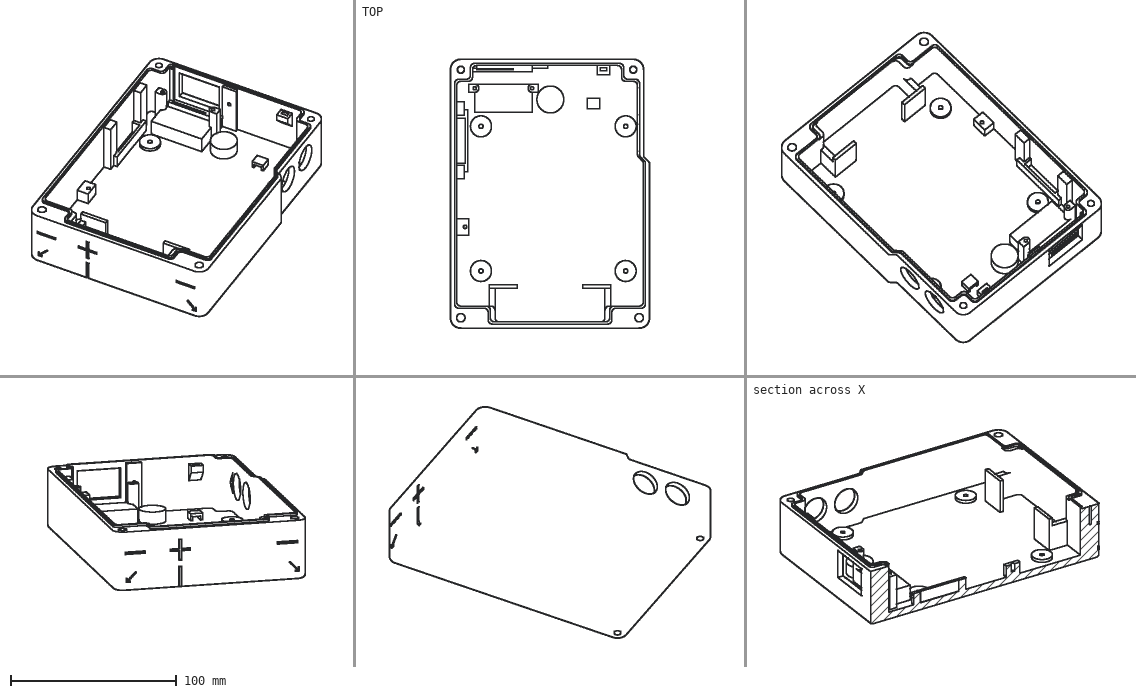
import cadquery as cq
import math

LENGTH_X = 120.4
LENGTH_Y = 162.56
HEIGHT = 38.1
REAR_LENGTH_X = 116.84
JOG_Y = 101.85
JOG_DROP = LENGTH_X - REAR_LENGTH_X
CORNER_RADIUS = 6.35
JOG_RADIUS = 1.4
BOTTOM_FILLET = 1.9

FLOOR_Z = 5.08
LIP_HEIGHT = 1.27
RIM_Z = HEIGHT - LIP_HEIGHT
LIP_SETBACK = 2.54
LIP_WIDTH = 1.27
WALL = LIP_SETBACK + LIP_WIDTH
BOSS_SIZE = 13.4
FRONT_LIP_X = 24.13
FRONT_BOSS_X = 27.0
CAVITY_RADIUS = 2.54
INNER_JOG_Y = 102.3

SCREW_INSET = 6.35
REAR_SCREW_DIAMETER = 4.06
FRONT_SCREW_DIAMETER = 5.08
FRONT_SCREW_DEPTH = 12.7

STANDOFF_DIAMETER = 12.7
STANDOFF_HEIGHT = 1.9
STANDOFF_HOLE_DIAMETER = 2.54
STANDOFF_HOLE_DEPTH = 3.81
STANDOFF_X = 18.5
STANDOFF_Y = 34.6
STANDOFF_PITCH = 87.4
DISC_DIAMETER = 16.26
DISC_HEIGHT = 7.62
DISC_CENTER = (60.4, 138.2)

MOUNT_LEFT = 14.8
MOUNT_RIGHT = 49.35
MOUNT_FRONT = 130.6
MOUNT_REAR = 147.4
MOUNT_TOP_Z = 15.24
POST_RADIUS = 2.4
POST_OVERHANG = 3.8
POST_TOP_Z = 27.7
POST_HOLE_DIAMETER = 1.96
POST_HOLE_DEPTH = 10.16

WINDOW_LEFT = 19.05
WINDOW_RIGHT = 46.2
WINDOW_BOTTOM_Z = 15.24
WINDOW_TOP_Z = 33.8
WINDOW_CENTER_X = (WINDOW_LEFT + WINDOW_RIGHT) / 2
WINDOW_CENTER_Z = (WINDOW_BOTTOM_Z + WINDOW_TOP_Z) / 2
PAD_WIDTH = 9.4
PAD_DEPTH = 1.8
PAD_HOLE_DIAMETER = 2.03
LEDGE_DEPTH = 3.81
LEDGE_TOP_Z = 11.43
GROOVE_LEFT = 15.9
GROOVE_RIGHT = 38.0
GROOVE_WIDTH = 0.6
GROOVE_DEPTH = 1.27
GROOVE_SETBACK = 2.35

WEDGE_LEFT = 88.7
WEDGE_RIGHT = 96.3
WEDGE_DEPTH = 5.6
WEDGE_TOP_Z = 33.5
WEDGE_FRONT_HEIGHT = 4.2
WEDGE_BACK_HEIGHT = 10.4
WEDGE_POCKET_X = 4.1
WEDGE_POCKET_Y = 1.8
WEDGE_POCKET_DEPTH = 2.54
WEDGE_POCKET_SETBACK = 2.3

BRIDGE_LEFT = 82.8
BRIDGE_RIGHT = 90.4
BRIDGE_FRONT = 132.6
BRIDGE_REAR = 139.1
BRIDGE_HEIGHT = 4.3
BRIDGE_ROOF = 1.9
BRIDGE_LEG = 1.27

TAB_RIGHT = 8.4
TAB_LENGTH = 8.0
TAB_FRONTS = (90.4, 128.8)
SHELF_RIGHT = 10.6
SHELF_FRONT = 94.5
SHELF_REAR = 132.0
SHELF_TOP_Z = 12.7
SHELF_POCKET_RIGHT = 8.9
SHELF_POCKET_FRONT = 99.8
SHELF_POCKET_REAR = 126.8
BLOCK_RIGHT = 11.2
BLOCK_FRONT = 56.3
BLOCK_REAR = 66.2
BLOCK_TOP_Z = 12.7
BLOCK_HOLE_DIAMETER = 2.03
BLOCK_HOLE_X = 8.9
BLOCK_HOLE_DEPTH = 5.08

HOLDER_LEFT = 23.5
HOLDER_ARM_END = 40.5
HOLDER_ARM_FRONT = 24.06
HOLDER_ARM_REAR = 26.4
HOLDER_ARM_TOP_Z = 26.67
HOLDER_SIDE_TOP_Z = 21.6

OPENING_DIAMETER = 16.26
OPENING_YS = (115.1, 137.2)
OPENING_Z = 22.95
CLEARANCE_DIAMETER = 22.86
CLEARANCE_DEPTH = 2.6

MARK_DEPTH = 1.27
MARK_WIDTH = 1.27
MARK_Z = 23.45
MARK_LENGTH = 12.45
CROSS_X = 40.85
CROSS_BAR_WIDTH = 1.78
CROSS_BAR_BOTTOM_Z = 17.0
CROSS_BAR_TOP_Z = 29.9
LOWER_BAR_TOP_Z = 12.9
ARROW_LEFT_TIP = (7.1, 5.3)
ARROW_RIGHT_TIP = (115.2, 5.1)
ARROW_RISE = 6.1
ARROW_BARB = 2.4
ARROW_LINE_WIDTH = 0.4
ARROW_DEPTH = 0.64


def box(x_min, x_max, y_min, y_max, z_min, z_max):
    """Axis-aligned block between the given limits."""
    block = cq.Workplane("XY").box(x_max - x_min, y_max - y_min, z_max - z_min, centered=False)
    return block.translate((x_min, y_min, z_min))


def cylinder(x, y, z_min, z_max, diameter):
    """Upright cylinder centred on (x, y)."""
    return cq.Workplane("XY", origin=(x, y, z_min)).circle(diameter / 2).extrude(z_max - z_min)


def mirror_x(shape):
    """Copy mirrored about the middle of the front face."""
    return shape.mirror("YZ", (LENGTH_X / 2, 0, 0))


def outer_body(top_z):
    """Solid outer block with rounded corners and the jog in its right side."""
    outline = [
        (0, 0),
        (LENGTH_X, 0),
        (LENGTH_X, JOG_Y - JOG_DROP / 2),
        (REAR_LENGTH_X, JOG_Y + JOG_DROP / 2),
        (REAR_LENGTH_X, LENGTH_Y),
        (0, LENGTH_Y),
    ]
    body = cq.Workplane("XY").polyline(outline).close().extrude(top_z)
    jog = cq.selectors.BoxSelector(
        (REAR_LENGTH_X - 1, JOG_Y - JOG_DROP, 0), (LENGTH_X + 1, JOG_Y + JOG_DROP, top_z)
    )
    body = body.edges("|Z").edges(jog).fillet(JOG_RADIUS)
    corners = cq.Workplane(obj=body.val())
    for x, y in ((0, 0), (LENGTH_X, 0), (REAR_LENGTH_X, LENGTH_Y), (0, LENGTH_Y)):
        corners = corners.edges(cq.selectors.NearestToPointSelector((x, y, top_z / 2))).fillet(CORNER_RADIUS)
    return corners.faces("<Z").edges().fillet(BOTTOM_FILLET)


def inner_prism(wall, boss, front_boss_x, z_min, z_max, radius):
    """Prism that follows the walls at the given setback and steps around the four corner bosses."""
    rear = LENGTH_Y - wall
    rear_right = REAR_LENGTH_X - wall
    front_right = LENGTH_X - wall
    outline = [
        (front_boss_x, wall),
        (LENGTH_X - front_boss_x, wall),
        (LENGTH_X - front_boss_x, boss),
        (front_right, boss),
        (front_right, INNER_JOG_Y - JOG_DROP / 2),
        (rear_right, INNER_JOG_Y + JOG_DROP / 2),
        (rear_right, LENGTH_Y - boss),
        (REAR_LENGTH_X - boss, LENGTH_Y - boss),
        (REAR_LENGTH_X - boss, rear),
        (boss, rear),
        (boss, LENGTH_Y - boss),
        (wall, LENGTH_Y - boss),
        (wall, boss),
        (front_boss_x, boss),
    ]
    prism = cq.Workplane("XY", origin=(0, 0, z_min)).polyline(outline).close().extrude(z_max - z_min)
    return prism.edges("|Z").fillet(radius)


def shell():
    """Box with its cavity and the raised lip around the opening."""
    lip_outer = inner_prism(
        LIP_SETBACK, BOSS_SIZE - LIP_WIDTH, FRONT_LIP_X - LIP_WIDTH, RIM_Z, HEIGHT, CAVITY_RADIUS
    )
    lip_inner = inner_prism(WALL, BOSS_SIZE, FRONT_LIP_X, RIM_Z, HEIGHT, CAVITY_RADIUS)
    cavity = inner_prism(WALL, BOSS_SIZE, FRONT_BOSS_X, FLOOR_Z, RIM_Z, CAVITY_RADIUS)
    return outer_body(RIM_Z).cut(cavity).union(lip_outer.cut(lip_inner))


def screw_holes():
    """Through holes in the rear bosses and blind holes in the front bosses."""
    rear_y = LENGTH_Y - SCREW_INSET
    holes = cq.Workplane("XY")
    for x in (SCREW_INSET, REAR_LENGTH_X - SCREW_INSET):
        holes = holes.add(cylinder(x, rear_y, 0, HEIGHT, REAR_SCREW_DIAMETER))
    for x in (SCREW_INSET, LENGTH_X - SCREW_INSET):
        holes = holes.add(cylinder(x, SCREW_INSET, RIM_Z - FRONT_SCREW_DEPTH, HEIGHT, FRONT_SCREW_DIAMETER))
    return holes.combine()


def add_standoffs(part):
    """Four low round pads with blind holes, and the plain disc."""
    top = FLOOR_Z + STANDOFF_HEIGHT
    for x in (STANDOFF_X, STANDOFF_X + STANDOFF_PITCH):
        for y in (STANDOFF_Y, STANDOFF_Y + STANDOFF_PITCH):
            part = part.union(cylinder(x, y, FLOOR_Z, top, STANDOFF_DIAMETER))
            part = part.cut(cylinder(x, y, top - STANDOFF_HOLE_DEPTH, top, STANDOFF_HOLE_DIAMETER))
    return part.union(cylinder(*DISC_CENTER, FLOOR_Z, FLOOR_Z + DISC_HEIGHT, DISC_DIAMETER))


def add_display_mount(part):
    """Raised block with a screw post at each end."""
    part = part.union(box(MOUNT_LEFT, MOUNT_RIGHT, MOUNT_FRONT, MOUNT_REAR, FLOOR_Z, MOUNT_TOP_Z))
    post_y = MOUNT_REAR - POST_RADIUS
    posts = ((MOUNT_LEFT, MOUNT_LEFT - POST_OVERHANG), (MOUNT_RIGHT, MOUNT_RIGHT + POST_OVERHANG))
    for x, flat_x in posts:
        part = part.union(cylinder(x, post_y, FLOOR_Z, POST_TOP_Z, 2 * POST_RADIUS))
        ends = sorted((x, flat_x))
        part = part.union(box(*ends, post_y - POST_RADIUS, MOUNT_REAR, FLOOR_Z, POST_TOP_Z))
        part = part.cut(cylinder(x, post_y, POST_TOP_Z - POST_HOLE_DEPTH, POST_TOP_Z, POST_HOLE_DIAMETER))
    return part


def add_window(part):
    """Window through the rear wall, a screw pad on each side of it and a grooved ledge below."""
    wall_y = LENGTH_Y - WALL
    ledge_half = MOUNT_RIGHT - WINDOW_CENTER_X
    part = part.union(
        box(SCREW_INSET * 2, MOUNT_RIGHT, wall_y - LEDGE_DEPTH, wall_y, FLOOR_Z, LEDGE_TOP_Z)
    )
    groove_y = wall_y - GROOVE_SETBACK
    part = part.cut(
        box(
            GROOVE_LEFT,
            GROOVE_RIGHT,
            groove_y - GROOVE_WIDTH / 2,
            groove_y + GROOVE_WIDTH / 2,
            LEDGE_TOP_Z - GROOVE_DEPTH,
            LEDGE_TOP_Z,
        )
    )
    for side in (-1, 1):
        pad_x = WINDOW_CENTER_X + side * (ledge_half + PAD_WIDTH / 2)
        pad = box(
            pad_x - PAD_WIDTH / 2, pad_x + PAD_WIDTH / 2, wall_y - PAD_DEPTH, wall_y, FLOOR_Z, RIM_Z
        )
        part = part.union(pad)
    hole_x = MOUNT_RIGHT + PAD_WIDTH / 2
    hole = cq.Workplane("XZ", origin=(hole_x, wall_y, WINDOW_CENTER_Z))
    part = part.cut(hole.circle(PAD_HOLE_DIAMETER / 2).extrude(PAD_DEPTH))
    return part.cut(
        box(WINDOW_LEFT, WINDOW_RIGHT, wall_y, LENGTH_Y, WINDOW_BOTTOM_Z, WINDOW_TOP_Z)
    )


def add_wedge(part):
    """Wedge bracket on the rear wall, with a small pocket in its top."""
    wall_y = LENGTH_Y - WALL
    profile = [
        (wall_y, WEDGE_TOP_Z),
        (wall_y - WEDGE_DEPTH, WEDGE_TOP_Z),
        (wall_y - WEDGE_DEPTH, WEDGE_TOP_Z - WEDGE_FRONT_HEIGHT),
        (wall_y, WEDGE_TOP_Z - WEDGE_BACK_HEIGHT),
    ]
    wedge = cq.Workplane("YZ", origin=(WEDGE_LEFT, 0, 0)).polyline(profile).close()
    part = part.union(wedge.extrude(WEDGE_RIGHT - WEDGE_LEFT))
    pocket = cq.Workplane("XY").box(WEDGE_POCKET_X, WEDGE_POCKET_Y, 2 * WEDGE_POCKET_DEPTH)
    center = ((WEDGE_LEFT + WEDGE_RIGHT) / 2, wall_y - WEDGE_POCKET_SETBACK, WEDGE_TOP_Z)
    return part.cut(pocket.translate(center))


def add_bridge(part):
    """Small bridge on the floor, open along Y."""
    top = FLOOR_Z + BRIDGE_HEIGHT
    bridge = box(BRIDGE_LEFT, BRIDGE_RIGHT, BRIDGE_FRONT, BRIDGE_REAR, FLOOR_Z, top)
    passage = box(
        BRIDGE_LEFT + BRIDGE_LEG, BRIDGE_RIGHT - BRIDGE_LEG, BRIDGE_FRONT, BRIDGE_REAR, FLOOR_Z, top - BRIDGE_ROOF
    )
    return part.union(bridge.cut(passage))


def add_left_wall_features(part):
    """Pocketed shelf with two tall tabs, and a block with a screw hole."""
    shelf = box(WALL, SHELF_RIGHT, SHELF_FRONT, SHELF_REAR, FLOOR_Z, SHELF_TOP_Z)
    pocket = box(WALL, SHELF_POCKET_RIGHT, SHELF_POCKET_FRONT, SHELF_POCKET_REAR, FLOOR_Z, SHELF_TOP_Z)
    part = part.union(shelf.cut(pocket))
    for front in TAB_FRONTS:
        part = part.union(box(WALL, TAB_RIGHT, front, front + TAB_LENGTH, FLOOR_Z, RIM_Z))
    part = part.union(box(WALL, BLOCK_RIGHT, BLOCK_FRONT, BLOCK_REAR, FLOOR_Z, BLOCK_TOP_Z))
    hole_y = (BLOCK_FRONT + BLOCK_REAR) / 2
    return part.cut(
        cylinder(BLOCK_HOLE_X, hole_y, BLOCK_TOP_Z - BLOCK_HOLE_DEPTH, BLOCK_TOP_Z, BLOCK_HOLE_DIAMETER)
    )


def add_front_holder(part):
    """Two mirrored L-shaped walls that form a holder against the front wall."""
    arm = box(HOLDER_LEFT, HOLDER_ARM_END, HOLDER_ARM_FRONT, HOLDER_ARM_REAR, FLOOR_Z, HOLDER_ARM_TOP_Z)
    side = box(
        HOLDER_LEFT, FRONT_BOSS_X, BOSS_SIZE - CAVITY_RADIUS, HOLDER_ARM_FRONT, FLOOR_Z, HOLDER_SIDE_TOP_Z
    )
    holder = arm.union(side)
    return part.union(holder).union(mirror_x(holder))


def cut_right_wall(part):
    """Two round openings, each with clearance for a nut inside the wall."""
    wall_x = REAR_LENGTH_X - WALL
    for y in OPENING_YS:
        plane = cq.Workplane("YZ", origin=(wall_x, y, OPENING_Z))
        part = part.cut(plane.circle(OPENING_DIAMETER / 2).extrude(WALL))
        part = part.cut(plane.circle(CLEARANCE_DIAMETER / 2).extrude(-CLEARANCE_DEPTH))
    return part


def front_marks():
    """Engraved cross, side dashes and lower bar on the front face."""
    z_low = MARK_Z - MARK_WIDTH / 2
    z_high = MARK_Z + MARK_WIDTH / 2
    left_dash = box(CORNER_RADIUS, CORNER_RADIUS + MARK_LENGTH, 0, MARK_DEPTH, z_low, z_high)
    marks = left_dash.union(mirror_x(left_dash))
    marks = marks.union(
        box(CROSS_X - MARK_LENGTH / 2, CROSS_X + MARK_LENGTH / 2, 0, MARK_DEPTH, z_low, z_high)
    )
    for bottom, top in ((CROSS_BAR_BOTTOM_Z, CROSS_BAR_TOP_Z), (0, LOWER_BAR_TOP_Z)):
        bar = box(CROSS_X - CROSS_BAR_WIDTH / 2, CROSS_X + CROSS_BAR_WIDTH / 2, 0, MARK_DEPTH, bottom, top)
        marks = marks.union(bar)
    return marks


def arrow(tip, side):
    """Engraved arrow pointing down and outwards; side is 1 for a shaft to the right of its tip, -1 to the left."""
    x, z = tip
    offset = ARROW_LINE_WIDTH * math.sqrt(0.5)
    outline = [
        (x, z),
        (x + side * ARROW_BARB, z),
        (x + side * ARROW_BARB, z + ARROW_LINE_WIDTH),
        (x + side * (ARROW_LINE_WIDTH + offset), z + ARROW_LINE_WIDTH),
        (x + side * ARROW_RISE, z + ARROW_RISE - offset),
        (x + side * (ARROW_RISE - offset), z + ARROW_RISE),
        (x + side * ARROW_LINE_WIDTH, z + ARROW_LINE_WIDTH + offset),
        (x + side * ARROW_LINE_WIDTH, z + ARROW_BARB),
        (x, z + ARROW_BARB),
    ]
    return cq.Workplane("XZ").polyline(outline).close().extrude(-ARROW_DEPTH)


part = shell()
part = add_standoffs(part)
part = add_display_mount(part)
part = add_window(part)
part = add_wedge(part)
part = add_bridge(part)
part = add_left_wall_features(part)
part = add_front_holder(part)
part = cut_right_wall(part)
part = part.cut(screw_holes())
part = part.cut(front_marks())
part = part.cut(arrow(ARROW_LEFT_TIP, 1))
result = part.cut(arrow(ARROW_RIGHT_TIP, -1))